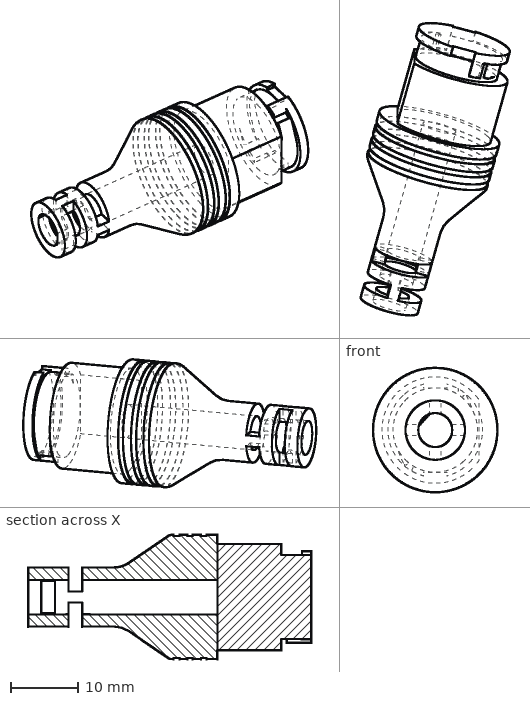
import cadquery as cq
import math


flange_radius = 7.0
flange_end = 1.43
neck_radius = 6.25
neck_end = 4.45
barrel_radius = 7.9
barrel_end = 13.95
barrel_flat_x = 6.45

bayonet_count = 2
entry_half_width = 1.72
lug_end = 3.7
groove_angle = 55.0
groove_half_angle = 4.5
ramp_start_angle = 27.5
ramp_bulge = 0.065
lug_edge_radius = 0.3
lug_root_radius = neck_radius - 0.85

cut_margin = 0.4

boot_end = 42.0
grip_radius = 9.25
grip_grooves = ((15.6, 16.35), (17.6, 18.4), (19.55, 20.4))
grip_groove_depth = 0.13
cone_start = 20.95
cone_end = 28.05
cone_shoulder_radius = 1.0
cone_foot_radius = 4.0
tail_radius = 4.4
bore_radius = 2.5
slot_width = 2.0
upright_slot_start = 33.98
sideways_slot_start = upright_slot_start + 2 * slot_width
web_thickness = 1.7


def cylinder(radius, start, end):
    """Cylinder on the Y axis between two stations."""
    base = cq.Plane(origin=(0, -start, 0), xDir=(-1, 0, 0), normal=(0, -1, 0))
    return cq.Workplane(base).circle(radius).extrude(end - start)


def polar(radius, angle):
    """X, Z point at a radius and an angle in degrees from +X toward +Z."""
    turn = math.radians(angle)
    return (radius * math.cos(turn), radius * math.sin(turn))


def around_axis(shape):
    """Copies of a shape spread evenly around the Y axis."""
    step = 360 / bayonet_count
    return [shape.rotate((0, 0, 0), (0, 1, 0), i * step) for i in range(bayonet_count)]


def round_lug_corner(shape, corner):
    """Round the lengthwise lug edge that passes through an X, Z corner."""
    lug_middle = (flange_end + lug_end) / 2
    edge = cq.selectors.NearestToPointSelector((corner[0], -lug_middle, corner[1]))
    return shape.edges("|Y").edges(edge).fillet(lug_edge_radius)


def make_stop_lug_sector():
    """Sector between the entry notch and the locking groove, reaching past the flange rim."""
    wall_angle = groove_angle + groove_half_angle
    reach = 2 * flange_radius
    return (
        cq.Workplane("XZ", origin=(0, -flange_end, 0))
        .moveTo(entry_half_width, lug_root_radius)
        .lineTo(entry_half_width, reach)
        .lineTo(*polar(reach, wall_angle))
        .lineTo(*polar(lug_root_radius, wall_angle))
        .close()
        .extrude(lug_end - flange_end)
    )


def make_ramp_lug():
    """Lug that climbs from the neck surface to the locking groove."""
    wall_angle = groove_angle - groove_half_angle
    foot = polar(neck_radius, ramp_start_angle)
    crest = polar(flange_radius, wall_angle)
    lug = (
        cq.Workplane("XZ", origin=(0, -flange_end, 0))
        .moveTo(*crest)
        .sagittaArc(foot, ramp_bulge)
        .lineTo(*polar(lug_root_radius, wall_angle))
        .close()
        .extrude(lug_end - flange_end)
    )
    return round_lug_corner(lug, crest)


def make_entry_notch():
    """Flat-floored notch through the flange, tangent to the neck."""
    notch_top = flange_radius + cut_margin
    return cq.Workplane("XY").box(
        2 * entry_half_width, flange_end, notch_top - neck_radius, centered=(True, True, False)
    ).translate((0, -flange_end / 2, neck_radius))


def make_barrel():
    """Barrel with one flat along its +X side."""
    flat_cutter = cq.Workplane("XY").box(
        barrel_radius, 2 * barrel_end, 2 * barrel_radius, centered=(False, True, True)
    ).translate((barrel_flat_x, -barrel_end, 0))
    return cylinder(barrel_radius, neck_end, barrel_end).cut(flat_cutter)


def make_bayonet_head():
    """Flange and neck turned from one disc, with stop lugs left standing on the neck."""
    relief = cylinder(flange_radius + cut_margin, flange_end, neck_end)
    relief = relief.cut(cylinder(neck_radius, flange_end, neck_end))
    for sector in around_axis(make_stop_lug_sector()):
        relief = relief.cut(sector)
    head = cylinder(flange_radius, 0, neck_end).cut(relief)
    for notch in around_axis(make_entry_notch()):
        head = head.cut(notch)
    for i in range(bayonet_count):
        wall_angle = groove_angle + groove_half_angle + i * 360 / bayonet_count
        head = round_lug_corner(head, polar(flange_radius, wall_angle))
    return head


def make_connector():
    connector = make_bayonet_head()
    for lug in around_axis(make_ramp_lug()):
        connector = connector.union(lug)
    return connector.union(make_barrel())


def make_boot_blank():
    """Solid grip, cone and tail with rounded transitions."""
    blank = (
        cq.Workplane("YZ")
        .moveTo(-barrel_end, 0)
        .lineTo(-barrel_end, grip_radius)
        .lineTo(-cone_start, grip_radius)
        .lineTo(-cone_end, tail_radius)
        .lineTo(-boot_end, tail_radius)
        .lineTo(-boot_end, 0)
        .close()
        .revolve(360, (0, 0, 0), (1, 0, 0))
    )
    shoulder = cq.selectors.NearestToPointSelector((0, -cone_start, 0))
    foot = cq.selectors.NearestToPointSelector((0, -cone_end, 0))
    blank = blank.edges("%CIRCLE").edges(shoulder).fillet(cone_shoulder_radius)
    return blank.edges("%CIRCLE").edges(foot).fillet(cone_foot_radius)


def make_slot_pair(start):
    """Two slots cut from above and below, leaving a web on each side of the bore."""
    reach = 2 * tail_radius
    slab = cylinder(reach, start, start + slot_width)
    web = cq.Workplane("XY").box(2 * reach, 2 * boot_end, web_thickness)
    return slab.cut(web.translate((0, -boot_end, 0)))


def make_boot():
    boot = make_boot_blank()
    for start, end in grip_grooves:
        ring = cylinder(grip_radius + cut_margin, start, end)
        core = cylinder(grip_radius - grip_groove_depth, start, end)
        boot = boot.cut(ring.cut(core))
    boot = boot.cut(cylinder(bore_radius, barrel_end, boot_end))
    boot = boot.cut(make_slot_pair(upright_slot_start))
    sideways_slots = make_slot_pair(sideways_slot_start).rotate((0, 0, 0), (0, 1, 0), 90)
    return boot.cut(sideways_slots)


connector = make_connector()
boot = make_boot()
result = cq.Compound.makeCompound([connector.solids().val(), boot.solids().val()])